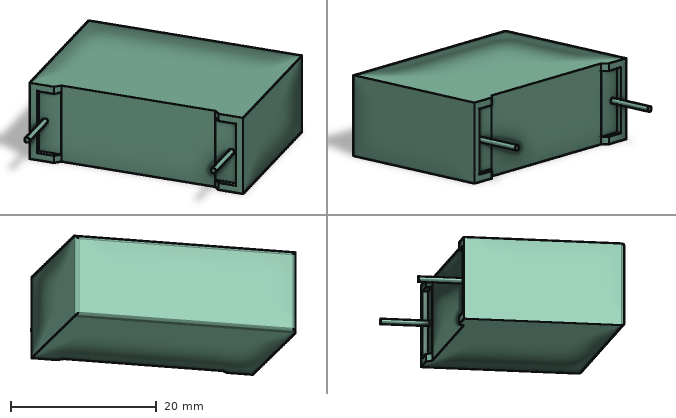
import cadquery as cq

case_width = 31.5
case_depth = 22.5
case_height = 11.5
back_fillet = 0.5
wall = 1.07

foot_width = 3.6
ramp_run = 0.82
relief_depth = 0.75

window_width = 3.28
window_height = case_height - 2 * wall
window_x = case_width / 2 - wall - window_width / 2
pad_front = relief_depth

resin_width = case_width - 2 * wall
resin_front = relief_depth + wall
resin_back = case_depth - wall

pin_diameter = 0.8
pin_pitch = 27.5
pin_reach = 6.02
pin_embed = 1.9
pin_end = pad_front + pin_embed

SIDES = (-1, 1)


def make_block(width, height, x, y_front, y_back):
    """Box centred on x and on mid-height, running from y_front to y_back."""
    depth = y_back - y_front
    return cq.Workplane("XY").box(width, depth, height).translate((x, y_front + depth / 2, 0))


def make_pin(side):
    """Round wire, anchored in the resin and reaching out past the feet."""
    return (
        cq.Workplane("XZ", origin=(side * pin_pitch / 2, pin_end, 0))
        .circle(pin_diameter / 2)
        .extrude(pin_end + pin_reach)
    )


def make_resin_envelope():
    """Resin block with one pad standing in each window, before the pin holes."""
    envelope = make_block(resin_width, window_height, 0, resin_front, resin_back)
    for side in SIDES:
        pad = make_block(window_width, window_height, side * window_x, pad_front, resin_front)
        envelope = envelope.union(pad)
    return envelope


def make_resin(pins):
    """Resin with a blind hole matching each pin."""
    resin = make_resin_envelope()
    for pin in pins:
        resin = resin.cut(pin)
    return resin


def make_relief():
    """Shallow trapezoid removed between the feet over the full height."""
    outer_x = case_width / 2 - foot_width
    inner_x = outer_x - ramp_run
    return (
        cq.Workplane("XY")
        .moveTo(-outer_x, 0)
        .lineTo(outer_x, 0)
        .lineTo(inner_x, relief_depth)
        .lineTo(-inner_x, relief_depth)
        .close()
        .extrude(case_height / 2, both=True)
    )


def make_case():
    """Box with rounded back edges, two feet, a window in each foot and the resin cavity."""
    case = make_block(case_width, case_height, 0, 0, case_depth)
    case = case.faces(">Y").edges().fillet(back_fillet)
    case = case.cut(make_relief())
    for side in SIDES:
        case = case.cut(make_block(window_width, window_height, side * window_x, 0, pad_front))
    return case.cut(make_resin_envelope())


pins = [make_pin(side) for side in SIDES]
resin = make_resin(pins)
case = make_case()

result = cq.Compound.makeCompound([case.val(), resin.val(), *[pin.val() for pin in pins]])